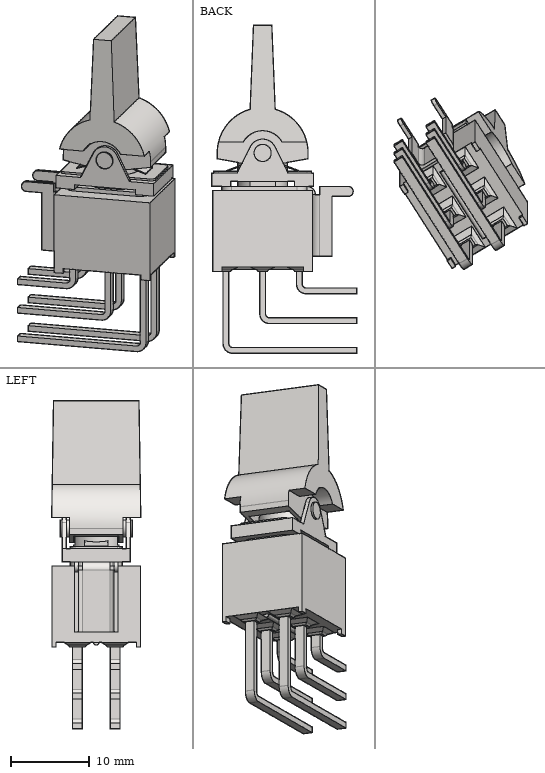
import cadquery as cq
import math


BODY_X = 12.8
BODY_Y = 11.35
BODY_TOP = 10.4
FOOT_X = 1.2
FOOT_Y = 0.55
FOOT_HEIGHT = 0.63
RIB_RADIUS = 0.38

TERMINAL_COLUMNS = 3
TERMINAL_PITCH_X = 4.7
TERMINAL_PITCH_Y = 4.82
TERMINAL_WIDTH = 1.27
TERMINAL_THICKNESS = 0.76
TERMINAL_TIP_X = -12.05
TERMINAL_LOWEST = -10.46
TERMINAL_STEP_Z = 3.81
TERMINAL_BEND = 0.5
TERMINAL_EMBED = 0.5
SEAL_TOP_X = 3.3
SEAL_TOP_Y = 3.5
SEAL_WAIST_Z = 0.25
SEAL_WAIST_X = 1.6
SEAL_WAIST_Y = 2.4
SEAL_BOTTOM_X = 1.1
SEAL_BOTTOM_Y = 1.9

SHEET = 0.53
SHEET_BEND = 0.54
PLATE_RECESS = 0.17
BRACKET_PLATE_Y = 3.48
BRACKET_BOTTOM = 1.97
LEG_OUTER_X = -8.9
ARM_TIP_X = -11.6
ARM_HEIGHT = 1.3
TAB_END_X = -5.0

GASKET_X = 10.9
GASKET_OFFSET_X = -0.2
GASKET_Y = 6.7
GASKET_CORNER = 1.25
FRAME_X = 13.04
FRAME_Y = 8.76
FRAME_HEIGHT = 1.68
FRAME_SLOT_X = 8.14
FRAME_SLOT_HEIGHT = 0.63
COVER_X = 12.56
COVER_Y = 6.7
COVER_THICKNESS = 0.25
COVER_CORNER = 0.6
BUSHING_RADIUS = 3.2
BUSHING_FLATS = 5.5
BUSHING_TOP = 14.8
COLLAR_FLATS = 5.86
COLLAR_HEIGHT = 0.25
LEAF_WIDTH = 3.0
LEAF_OUTER_X = 4.6
LEAF_INNER_X = 2.6
LEAF_RISE = 0.85
LEAF_TOE = 0.1
LEAF_THICKNESS = 0.2

PIVOT_Z = 15.2
PIVOT_DIAMETER = 2.2
PIVOT_LENGTH = 9.28
EAR_RADIUS = 1.77
EAR_BASE_X = 6.55
EAR_THICKNESS = 0.55

ROCKER_RADIUS = 5.83
ROCKER_Y = 11.44
ROCKER_CORE_Y = 6.86
ROCKER_APEX_Z = 13.4
ROCKER_RIM_Z = 14.45
FLANGE_BOTTOM = 16.58
FLANGE_ARCH_RADIUS = 2.85
CAVITY_X = 8.8
CAVITY_Y = 5.7
CAVITY_TOP = 16.0
LEVER_TOP = 31.56
LEVER_ROOT_X = 3.24
LEVER_TOP_X = 2.38
LEVER_TOP_Y = 10.97

BRACKET_TOP = BODY_TOP + SHEET
FRAME_BOTTOM = BRACKET_TOP
FRAME_TOP = FRAME_BOTTOM + FRAME_HEIGHT
COVER_TOP = FRAME_TOP + COVER_THICKNESS


def block(size_x, size_y, bottom, top, x=0.0, y=0.0):
    """Upright rectangular block centred on (x, y)."""
    plan = cq.Workplane("XY").workplane(offset=bottom).center(x, y)
    return plan.rect(size_x, size_y).extrude(top - bottom)


def side_profile(y_max):
    """XZ sketch plane at y_max whose extrusions run toward -Y."""
    return cq.Workplane("XZ", origin=(0, y_max, 0))


def cylinder_along_y(radius, length, z):
    return side_profile(length / 2).center(0, z).circle(radius).extrude(length)


def frustum(x, y, lower, upper):
    """Tapered block about (x, y) between two (height, size_x, size_y) levels."""
    lower_z, lower_x, lower_y = lower
    upper_z, upper_x, upper_y = upper
    return (
        cq.Workplane("XY", origin=(x, y, lower_z))
        .rect(lower_x, lower_y)
        .workplane(offset=upper_z - lower_z)
        .rect(upper_x, upper_y)
        .loft()
    )


def make_body():
    body = block(BODY_X, BODY_Y, 0, BODY_TOP)
    body = body.cut(block(BODY_X, BODY_Y - 2 * FOOT_Y, 0, FOOT_HEIGHT))
    body = body.cut(block(BODY_X - 2 * FOOT_X, BODY_Y, 0, FOOT_HEIGHT))
    rib_length = BODY_X - 2 * FOOT_X
    rib = (
        cq.Workplane("YZ", origin=(-rib_length / 2, 0, FOOT_HEIGHT))
        .circle(RIB_RADIUS)
        .extrude(rib_length)
    )
    return body.union(rib)


def make_terminal(x, y, tail_bottom):
    """Bent terminal: down from the body, then out toward -X."""
    outer_x = x + TERMINAL_THICKNESS / 2
    terminal_top = FOOT_HEIGHT + TERMINAL_EMBED
    outer_bend = TERMINAL_BEND + TERMINAL_THICKNESS
    inner_x = outer_x - TERMINAL_THICKNESS
    tail_top = tail_bottom + TERMINAL_THICKNESS
    terminal = (
        side_profile(y + TERMINAL_WIDTH / 2)
        .moveTo(TERMINAL_TIP_X, tail_bottom)
        .lineTo(outer_x - outer_bend, tail_bottom)
        .radiusArc((outer_x, tail_bottom + outer_bend), -outer_bend)
        .lineTo(outer_x, terminal_top)
        .lineTo(inner_x, terminal_top)
        .lineTo(inner_x, tail_top + TERMINAL_BEND)
        .radiusArc((inner_x - TERMINAL_BEND, tail_top), TERMINAL_BEND)
        .lineTo(TERMINAL_TIP_X, tail_top)
        .close()
        .extrude(TERMINAL_WIDTH)
    )
    seal_levels = (
        (0, SEAL_BOTTOM_X, SEAL_BOTTOM_Y),
        (SEAL_WAIST_Z, SEAL_WAIST_X, SEAL_WAIST_Y),
        (FOOT_HEIGHT, SEAL_TOP_X, SEAL_TOP_Y),
    )
    for lower, upper in zip(seal_levels, seal_levels[1:]):
        terminal = terminal.union(frustum(x, y, lower, upper))
    return terminal


def make_bracket():
    """Folded channel on the -X face, with a tab over the body and two arms."""
    bend_outer = SHEET + SHEET_BEND
    plate_inner_x = -BODY_X / 2 + PLATE_RECESS
    plate_outer_x = plate_inner_x - SHEET
    leg_root_x = plate_outer_x - SHEET_BEND
    plate_half = BRACKET_PLATE_Y / 2
    leg_inner_y = plate_half + SHEET_BEND
    leg_outer_y = leg_inner_y + SHEET
    tip_radius = ARM_HEIGHT / 2
    bend_top = BRACKET_TOP - bend_outer

    channel = (
        side_profile(plate_half)
        .moveTo(plate_outer_x, BRACKET_BOTTOM)
        .lineTo(plate_outer_x, bend_top)
        .radiusArc((plate_outer_x + bend_outer, BRACKET_TOP), bend_outer)
        .lineTo(TAB_END_X, BRACKET_TOP)
        .lineTo(TAB_END_X, BODY_TOP)
        .lineTo(plate_inner_x, BODY_TOP)
        .lineTo(plate_inner_x, BRACKET_BOTTOM)
        .close()
        .extrude(BRACKET_PLATE_Y)
    )
    leg_outline = (
        side_profile(leg_outer_y)
        .moveTo(leg_root_x, BRACKET_BOTTOM)
        .lineTo(LEG_OUTER_X, BRACKET_BOTTOM)
        .lineTo(LEG_OUTER_X, BRACKET_TOP - ARM_HEIGHT)
        .lineTo(ARM_TIP_X + tip_radius, BRACKET_TOP - ARM_HEIGHT)
        .radiusArc((ARM_TIP_X + tip_radius, BRACKET_TOP), tip_radius)
        .lineTo(leg_root_x, BRACKET_TOP)
        .close()
        .extrude(SHEET)
    )
    bend = (
        cq.Workplane("XY", origin=(0, 0, BRACKET_BOTTOM))
        .moveTo(leg_root_x, leg_outer_y)
        .radiusArc((plate_inner_x, plate_half), bend_outer)
        .lineTo(plate_outer_x, plate_half)
        .radiusArc((leg_root_x, leg_inner_y), -SHEET_BEND)
        .close()
        .extrude(bend_top - BRACKET_BOTTOM)
    )
    leg = leg_outline.union(bend)
    return channel.union(leg).union(leg.mirror("XZ"))


def make_ears():
    """Pair of tapered ears, tangent to the round eye about the pivot."""
    base_half = EAR_BASE_X / 2
    drop = PIVOT_Z - FRAME_TOP
    distance = math.hypot(base_half, drop)
    tangent_angle = math.acos(EAR_RADIUS / distance) - math.atan2(drop, base_half)
    tangent_x = EAR_RADIUS * math.cos(tangent_angle)
    tangent_z = PIVOT_Z + EAR_RADIUS * math.sin(tangent_angle)
    ear = (
        side_profile(FRAME_Y / 2)
        .moveTo(-base_half, FRAME_TOP - FRAME_HEIGHT / 2)
        .lineTo(-base_half, FRAME_TOP)
        .lineTo(-tangent_x, tangent_z)
        .threePointArc((0, PIVOT_Z + EAR_RADIUS), (tangent_x, tangent_z))
        .lineTo(base_half, FRAME_TOP)
        .lineTo(base_half, FRAME_TOP - FRAME_HEIGHT / 2)
        .close()
        .extrude(EAR_THICKNESS)
    )
    return ear.union(ear.mirror("XZ"))


def make_leaf():
    """Sloped spring leaf rising from the cover to the bushing on the -X side."""
    return (
        side_profile(LEAF_WIDTH / 2)
        .moveTo(-LEAF_OUTER_X, COVER_TOP)
        .lineTo(-LEAF_OUTER_X, COVER_TOP + LEAF_TOE)
        .lineTo(-LEAF_INNER_X, COVER_TOP + LEAF_RISE)
        .lineTo(-LEAF_INNER_X, COVER_TOP + LEAF_RISE - LEAF_THICKNESS)
        .close()
        .extrude(LEAF_WIDTH)
    )


def make_frame():
    gasket = block(GASKET_X, GASKET_Y, BODY_TOP, FRAME_BOTTOM, x=GASKET_OFFSET_X)
    gasket = gasket.edges("|Z").fillet(GASKET_CORNER)
    frame = block(FRAME_X, FRAME_Y, FRAME_BOTTOM, FRAME_TOP)
    frame = frame.cut(block(FRAME_SLOT_X, FRAME_Y, FRAME_BOTTOM, FRAME_BOTTOM + FRAME_SLOT_HEIGHT))
    cover = block(COVER_X, COVER_Y, FRAME_TOP, COVER_TOP).edges("|Z").fillet(COVER_CORNER)
    bushing = (
        cq.Workplane("XY", origin=(0, 0, BODY_TOP))
        .circle(BUSHING_RADIUS)
        .extrude(BUSHING_TOP - BODY_TOP)
        .intersect(block(2 * BUSHING_RADIUS, BUSHING_FLATS, BODY_TOP, BUSHING_TOP))
    )
    collar = (
        cq.Workplane("XY", origin=(0, 0, COVER_TOP))
        .circle(BUSHING_RADIUS)
        .extrude(COLLAR_HEIGHT)
        .intersect(block(2 * BUSHING_RADIUS, COLLAR_FLATS, COVER_TOP, COVER_TOP + COLLAR_HEIGHT))
    )
    leaf = make_leaf()
    frame = frame.union(gasket).union(cover).union(bushing).union(collar).union(make_ears())
    return frame.union(leaf).union(leaf.mirror("YZ"))


def make_rocker():
    """Round rocker with a V underside, overhanging flanges and a tapered lever."""
    half_root = LEVER_ROOT_X / 2
    root_z = PIVOT_Z + math.sqrt(ROCKER_RADIUS**2 - half_root**2)
    half_top = LEVER_TOP_X / 2
    rocker = (
        side_profile(ROCKER_Y / 2)
        .moveTo(-ROCKER_RADIUS, ROCKER_RIM_Z)
        .lineTo(-ROCKER_RADIUS, PIVOT_Z)
        .radiusArc((-half_root, root_z), ROCKER_RADIUS)
        .lineTo(-half_top, LEVER_TOP)
        .lineTo(half_top, LEVER_TOP)
        .lineTo(half_root, root_z)
        .radiusArc((ROCKER_RADIUS, PIVOT_Z), ROCKER_RADIUS)
        .lineTo(ROCKER_RADIUS, ROCKER_RIM_Z)
        .lineTo(0, ROCKER_APEX_Z)
        .close()
        .extrude(ROCKER_Y)
    )
    core_half = ROCKER_CORE_Y / 2
    end_section = (
        cq.Workplane("YZ", origin=(-ROCKER_RADIUS, 0, 0))
        .moveTo(-core_half, ROCKER_APEX_Z)
        .lineTo(-core_half, FLANGE_BOTTOM)
        .lineTo(-ROCKER_Y / 2, FLANGE_BOTTOM)
        .lineTo(-LEVER_TOP_Y / 2, LEVER_TOP)
        .lineTo(LEVER_TOP_Y / 2, LEVER_TOP)
        .lineTo(ROCKER_Y / 2, FLANGE_BOTTOM)
        .lineTo(core_half, FLANGE_BOTTOM)
        .lineTo(core_half, ROCKER_APEX_Z)
        .close()
        .extrude(2 * ROCKER_RADIUS)
    )
    rocker = rocker.intersect(end_section)
    arch = cylinder_along_y(FLANGE_ARCH_RADIUS, ROCKER_Y, PIVOT_Z)
    arch_top = PIVOT_Z + FLANGE_ARCH_RADIUS
    core_space = block(2 * ROCKER_RADIUS, ROCKER_CORE_Y, ROCKER_APEX_Z, arch_top)
    rocker = rocker.cut(arch.cut(core_space))
    return rocker.cut(block(CAVITY_X, CAVITY_Y, ROCKER_APEX_Z, CAVITY_TOP))


def make_pivots():
    """Two stub pins carrying the rocker core in the ears."""
    pins = cylinder_along_y(PIVOT_DIAMETER / 2, PIVOT_LENGTH, PIVOT_Z)
    return pins.cut(block(CAVITY_X, CAVITY_Y, ROCKER_APEX_Z, CAVITY_TOP + PIVOT_DIAMETER))


result = make_body().union(make_bracket()).union(make_frame())
result = result.union(make_rocker()).union(make_pivots())
for column in range(TERMINAL_COLUMNS):
    column_x = (column - (TERMINAL_COLUMNS - 1) / 2) * TERMINAL_PITCH_X
    tail_bottom = TERMINAL_LOWEST + (TERMINAL_COLUMNS - 1 - column) * TERMINAL_STEP_Z
    for row_y in (-TERMINAL_PITCH_Y / 2, TERMINAL_PITCH_Y / 2):
        result = result.union(make_terminal(column_x, row_y, tail_bottom))